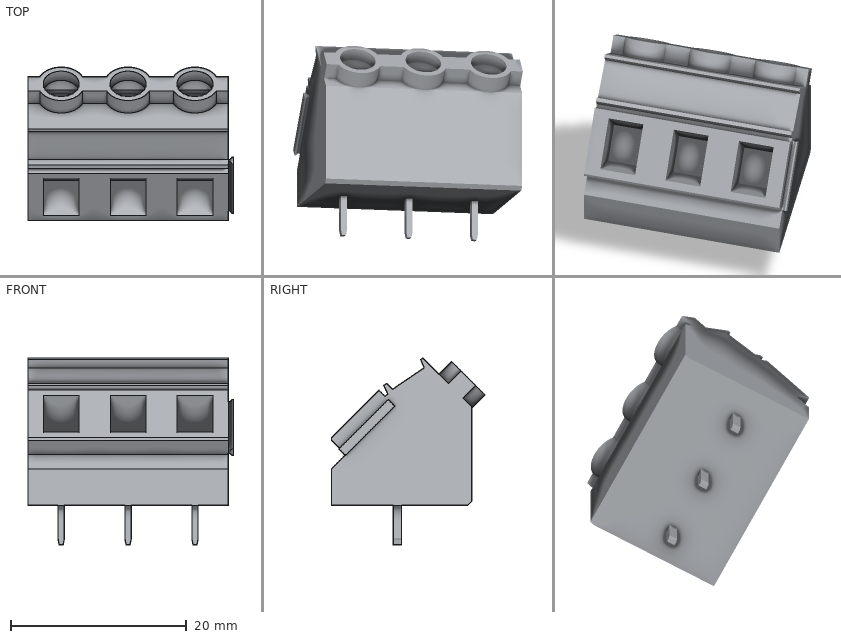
import cadquery as cq
import math


pole_count = 3
pole_pitch = 7.62
housing_width = 22.85
pole_positions = [housing_width / 2 + (i - (pole_count - 1) / 2) * pole_pitch for i in range(pole_count)]

diagonal = math.sqrt(0.5)

housing_height = 16.8
housing_depth = 16.0
base_front_height = 4.15
notch_depth = 1.62
lip_bottom_height = base_front_height + 2 * notch_depth
lip_top_height = 7.72
wire_face_depth = 5.4
wire_face_top = lip_top_height + wire_face_depth
groove_depth = 0.7
bottom_chamfer = 0.47

front_rib_root = (6.4, 12.7)
front_rib_front_tip = (5.94, 13.68)
front_rib_back_tip = (6.3, 13.9)
front_rib_slope = 0.65
rear_rib_root = (10.55, 15.67)
rear_rib_front_tip = (10.15, 16.59)
rear_rib_tip_depth = 10.42
rear_edge_height = housing_height + rear_rib_tip_depth - housing_depth

overall_depth = 17.5
boss_radius = 2.7
boss_height = 2.02
band_width = 2.35
boss_top_y = overall_depth - boss_radius * diagonal
boss_seat_y = boss_top_y - boss_height * diagonal
boss_seat_z = housing_height + rear_rib_tip_depth - boss_seat_y

screw_radius = 2.05
screw_sink = 1.48
screw_head_thickness = 1.17
slot_width = 0.91
slot_depth = 0.59

opening_width = 4.05
opening_mouth_length = 5.9
opening_mouth_center = 3.8
opening_floor_length = 4.15
opening_floor_center = 3.68
opening_depth = 4.83

tongue_projection = 0.6
tongue_neck_end = 0.19
tongue_flare_end = 0.42
tongue_neck_width = 0.35
tongue_head_width = 1.05
tongue_length = 7.98
tongue_center = 3.65
tongue_inset = 2.05

pin_width = 0.73
pin_thickness = 0.96
pin_length = 4.5
pin_center_y = 7.5
pin_tip_width = 0.47
pin_tip_length = 0.63


def wire_face_point(along, inset):
    """(Y, Z) of a point up the wire face from its lower edge and square into the housing."""
    return (along + inset) * diagonal, lip_top_height + (along - inset) * diagonal


def rear_plane(x, height):
    """Plane parallel to the rear sloped face, on a boss axis, at a height above that face."""
    offset = height * diagonal
    return cq.Plane(
        origin=(x, boss_seat_y + offset, boss_seat_z + offset),
        xDir=(1, 0, 0),
        normal=(0, 1, 1),
    )


def make_housing_body():
    outline = [
        (0, 0),
        (0, base_front_height),
        (notch_depth, base_front_height + notch_depth),
        (0, lip_bottom_height),
        (0, lip_top_height),
        (wire_face_depth, wire_face_top),
        (wire_face_depth + groove_depth, wire_face_top - groove_depth),
        front_rib_root,
        front_rib_front_tip,
        front_rib_back_tip,
        (front_rib_back_tip[0] + front_rib_slope, front_rib_back_tip[1] - front_rib_slope),
        rear_rib_root,
        rear_rib_front_tip,
        (rear_rib_tip_depth, housing_height),
        (housing_depth, rear_edge_height),
        (housing_depth, bottom_chamfer),
        (housing_depth - bottom_chamfer, 0),
    ]
    return cq.Workplane("YZ").polyline(outline).close().extrude(housing_width)


def make_band():
    return cq.Workplane(rear_plane(housing_width / 2, 0)).rect(housing_width, band_width).extrude(boss_height)


def make_boss(x):
    return cq.Workplane(rear_plane(x, 0)).circle(boss_radius).extrude(boss_height)


def make_screw_hole(x):
    hole_depth = screw_sink + screw_head_thickness
    return cq.Workplane(rear_plane(x, boss_height)).circle(screw_radius).extrude(-hole_depth)


def make_wire_opening(x):
    outline = [
        wire_face_point(opening_mouth_center - opening_mouth_length / 2, 0),
        wire_face_point(opening_mouth_center + opening_mouth_length / 2, 0),
        wire_face_point(opening_floor_center + opening_floor_length / 2, opening_depth),
        wire_face_point(opening_floor_center - opening_floor_length / 2, opening_depth),
    ]
    start = x - opening_width / 2
    return cq.Workplane("YZ", origin=(start, 0, 0)).polyline(outline).close().extrude(opening_width)


def make_tongue():
    center_y, center_z = wire_face_point(tongue_center, tongue_inset)
    section_plane = cq.Plane(origin=(housing_width, center_y, center_z), xDir=(1, 0, 0), normal=(0, 1, 1))
    half_section = [
        (0, tongue_neck_width / 2),
        (tongue_neck_end, tongue_neck_width / 2),
        (tongue_flare_end, tongue_head_width / 2),
        (tongue_projection, tongue_head_width / 2),
    ]
    mirrored_half = [(x, -y) for x, y in reversed(half_section)]
    section = cq.Workplane(section_plane).polyline(half_section + mirrored_half).close()
    return section.extrude(tongue_length / 2, both=True)


def make_housing():
    housing = make_housing_body().union(make_band()).union(make_tongue())
    for x in pole_positions:
        housing = housing.union(make_boss(x))
    for x in pole_positions:
        housing = housing.cut(make_screw_hole(x)).cut(make_wire_opening(x))
    return housing


def make_screw(x):
    """Slotted screw head that fills the bottom of its hole."""
    head_plane = rear_plane(x, boss_height - screw_sink)
    head = cq.Workplane(head_plane).circle(screw_radius).extrude(-screw_head_thickness)
    slot = cq.Workplane(head_plane).rect(2 * screw_radius, slot_width).extrude(-slot_depth)
    return head.cut(slot)


def make_pin(x):
    """Flat solder pin under the housing, tapered in width at its tip."""
    outline = [
        (-pin_width / 2, 0),
        (pin_width / 2, 0),
        (pin_width / 2, pin_tip_length - pin_length),
        (pin_tip_width / 2, -pin_length),
        (-pin_tip_width / 2, -pin_length),
        (-pin_width / 2, pin_tip_length - pin_length),
    ]
    section = cq.Workplane("XZ", origin=(x, pin_center_y, 0)).polyline(outline).close()
    return section.extrude(pin_thickness / 2, both=True)


housing = make_housing()
screws = [make_screw(x) for x in pole_positions]
pins = [make_pin(x) for x in pole_positions]

result = cq.Compound.makeCompound([body.val() for body in [housing, *screws, *pins]])